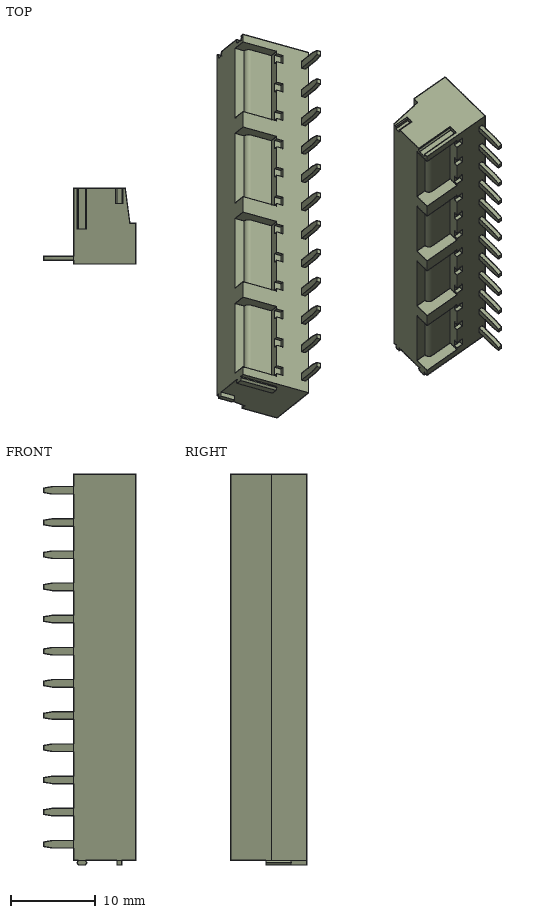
import cadquery as cq

BODY_WIDTH = 7.35
BODY_DEPTH = 9.0
OVERALL_HEIGHT = 46.25
BODY_HEIGHT = 45.7
LEDGE_X = 6.65
LEDGE_Y = 4.85
BACK_EDGE_X = 6.1
CONTACT_COUNT = 12
PITCH = BODY_HEIGHT / CONTACT_COUNT

KEY_HEIGHT = OVERALL_HEIGHT - BODY_HEIGHT
WIDE_KEY_X = 0.95
WIDE_KEY_NECK = 0.85
WIDE_KEY_WAIST = 1.2
WIDE_KEY_TIP = 0.85
WIDE_KEY_LENGTH = 4.85
NARROW_KEY_X = 5.4
NARROW_KEY_WIDTH = 0.6
NARROW_KEY_LENGTH = 1.85
MOUTH_CHAMFER = 0.15

CONTACTS_PER_POCKET = 3
POCKET_COUNT = CONTACT_COUNT // CONTACTS_PER_POCKET
POCKET_PITCH = CONTACTS_PER_POCKET * PITCH
POCKET_HEIGHT = 9.35
POCKET_LENGTH = 4.65
POCKET_DEPTH = 1.85
STEP_START = 1.25
STEP_RADIUS = 0.6

RECESS_LENGTH = 0.85
RECESS_HEIGHT = 1.05
RECESS_DEPTH = 0.45

PIN_LENGTH = 3.55
PIN_WIDTH = 0.93
PIN_TIP_WIDTH = 0.55
PIN_TAPER = 1.05
PIN_Y = 0.45
PIN_THICKNESS = 0.5


def make_housing():
    return (
        cq.Workplane("XY")
        .polyline([
            (0, 0),
            (BODY_WIDTH, 0),
            (BODY_WIDTH, LEDGE_Y),
            (LEDGE_X, LEDGE_Y),
            (BACK_EDGE_X, BODY_DEPTH),
            (0, BODY_DEPTH),
        ])
        .close()
        .extrude(BODY_HEIGHT)
    )


def make_wide_key(top):
    """Key with a swollen waist, hanging down from height `top`."""
    return (
        cq.Workplane("XZ", origin=(WIDE_KEY_X, BODY_DEPTH, top))
        .polyline([
            (-WIDE_KEY_NECK / 2, 0),
            (-WIDE_KEY_WAIST / 2, -KEY_HEIGHT / 2),
            (-WIDE_KEY_TIP / 2, -KEY_HEIGHT),
            (WIDE_KEY_TIP / 2, -KEY_HEIGHT),
            (WIDE_KEY_WAIST / 2, -KEY_HEIGHT / 2),
            (WIDE_KEY_NECK / 2, 0),
        ])
        .close()
        .extrude(WIDE_KEY_LENGTH)
    )


def make_narrow_key(top):
    """Straight key hanging down from height `top`."""
    return (
        cq.Workplane("XZ", origin=(NARROW_KEY_X, BODY_DEPTH, top - KEY_HEIGHT / 2))
        .rect(NARROW_KEY_WIDTH, KEY_HEIGHT)
        .extrude(NARROW_KEY_LENGTH)
    )


def make_mouth(center_x, width, length):
    """Cutter that bevels both long edges of a keyway in the top."""
    return (
        cq.Workplane("XZ", origin=(center_x, BODY_DEPTH, BODY_HEIGHT))
        .polyline([
            (-width / 2 - MOUTH_CHAMFER, 0),
            (width / 2 + MOUTH_CHAMFER, 0),
            (width / 2, -MOUTH_CHAMFER),
            (-width / 2, -MOUTH_CHAMFER),
        ])
        .close()
        .extrude(length)
    )


def make_pocket(center_z):
    """Pocket open at the back, with a rounded step up to a shallower floor."""
    shallow = POCKET_DEPTH - STEP_RADIUS
    step_y = BODY_DEPTH - STEP_START
    return (
        cq.Workplane("XY", origin=(0, 0, center_z - POCKET_HEIGHT / 2))
        .moveTo(0, BODY_DEPTH)
        .lineTo(POCKET_DEPTH, BODY_DEPTH)
        .lineTo(POCKET_DEPTH, step_y)
        .radiusArc((shallow, step_y - STEP_RADIUS), -STEP_RADIUS)
        .lineTo(shallow, BODY_DEPTH - POCKET_LENGTH)
        .lineTo(0, BODY_DEPTH - POCKET_LENGTH)
        .close()
        .extrude(POCKET_HEIGHT)
    )


def make_recess(center_z):
    """Shallow rectangular recess adjoining the front end of a pocket."""
    front_y = BODY_DEPTH - POCKET_LENGTH - RECESS_LENGTH
    return (
        cq.Workplane("XY")
        .box(RECESS_DEPTH, RECESS_LENGTH, RECESS_HEIGHT, centered=(False, False, True))
        .translate((0, front_y, center_z))
    )


def make_pin(center_z):
    """Flat pin along -X with a tapered tip."""
    taper_x = PIN_TAPER - PIN_LENGTH
    return (
        cq.Workplane("XZ", origin=(0, PIN_Y + PIN_THICKNESS, center_z))
        .polyline([
            (0, -PIN_WIDTH / 2),
            (taper_x, -PIN_WIDTH / 2),
            (-PIN_LENGTH, -PIN_TIP_WIDTH / 2),
            (-PIN_LENGTH, PIN_TIP_WIDTH / 2),
            (taper_x, PIN_WIDTH / 2),
            (0, PIN_WIDTH / 2),
        ])
        .close()
        .extrude(PIN_THICKNESS)
    )


result = make_housing()
for make_key in (make_wide_key, make_narrow_key):
    result = result.cut(make_key(BODY_HEIGHT)).union(make_key(0))
result = result.cut(make_mouth(WIDE_KEY_X, WIDE_KEY_NECK, WIDE_KEY_LENGTH))
result = result.cut(make_mouth(NARROW_KEY_X, NARROW_KEY_WIDTH, NARROW_KEY_LENGTH))
for index in range(POCKET_COUNT):
    result = result.cut(make_pocket((index + 0.5) * POCKET_PITCH))
for index in range(CONTACT_COUNT):
    contact_z = (index + 0.5) * PITCH
    result = result.cut(make_recess(contact_z)).union(make_pin(contact_z))